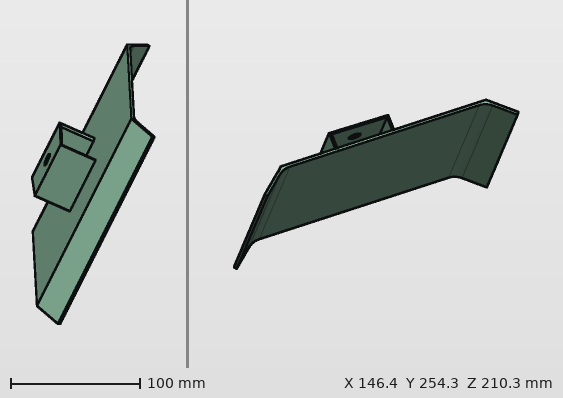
import cadquery as cq
import math

PLATE_HALF_LENGTH = 86.0
PLATE_WIDTH = 169.8
FLANGE_REACH = 20.5
FLANGE_DROP = 17.5
SHEET = 2.5
INNER_BEND_RADIUS = 15.3

BRACKET_LENGTH = 50.1
BRACKET_HEIGHT = 30.0
NARROW_LEG_HALF_WIDTH = 23.2
WIDE_LEG_TOP = 23.7
WIDE_LEG_BOTTOM = 26.0
NARROW_LEG_THICKNESS = 1.5
WIDE_LEG_THICKNESS = 2.3
WIDE_LEG_BEVEL = 2.0
WEB_THICKNESS = 1.5
HOLE_DIAMETER = 9.7

TILT_X = 64.15
TILT_Y = -17.1
TILT_Z = -62.1


def make_plate():
    """Folded sheet: bracket-side face at Z = 0, flanges bent down at both ends."""
    bend = math.atan2(FLANGE_DROP, FLANGE_REACH)
    tip = PLATE_HALF_LENGTH + FLANGE_REACH
    inner_tip = (tip - SHEET * math.sin(bend), -FLANGE_DROP - SHEET * math.cos(bend))
    inner_corner = (PLATE_HALF_LENGTH - SHEET * math.tan(bend / 2), -SHEET)
    right_side = [(PLATE_HALF_LENGTH, 0), (tip, -FLANGE_DROP), inner_tip, inner_corner]
    left_side = [(-x, z) for x, z in reversed(right_side)]
    sheet = (
        cq.Workplane("XZ")
        .polyline(right_side + left_side)
        .close()
        .extrude(PLATE_WIDTH / 2, both=True)
    )
    for side in (1, -1):
        inner_bend = cq.selectors.NearestToPointSelector((side * inner_corner[0], 0, inner_corner[1]))
        sheet = sheet.edges("|Y").edges(inner_bend).fillet(INNER_BEND_RADIUS)
    return sheet


def prism(outline, height):
    """Solid rising from Z = 0 over a closed outline."""
    return cq.Workplane("XY").polyline(outline).close().extrude(height)


def make_bracket():
    """Top web with a leg at each end; the web widens towards the -X leg."""
    outer_x = BRACKET_LENGTH / 2
    narrow_end = [(outer_x, NARROW_LEG_HALF_WIDTH), (outer_x, -NARROW_LEG_HALF_WIDTH)]
    wide_end = [(-outer_x, -WIDE_LEG_BOTTOM), (-outer_x, WIDE_LEG_TOP)]
    web = prism(narrow_end + wide_end, WEB_THICKNESS)
    web = web.translate((0, 0, BRACKET_HEIGHT - WEB_THICKNESS))

    narrow_inner_x = outer_x - NARROW_LEG_THICKNESS
    narrow_inner = [(narrow_inner_x, -NARROW_LEG_HALF_WIDTH), (narrow_inner_x, NARROW_LEG_HALF_WIDTH)]
    narrow_leg = prism(narrow_end + narrow_inner, BRACKET_HEIGHT)

    wide_inner_x = WIDE_LEG_THICKNESS - outer_x
    wide_inner = [
        (wide_inner_x, WIDE_LEG_TOP - WIDE_LEG_BEVEL),
        (wide_inner_x, WIDE_LEG_BEVEL - WIDE_LEG_BOTTOM),
    ]
    wide_leg = prism(wide_end + wide_inner, BRACKET_HEIGHT)

    hole = cq.Workplane("XY").circle(HOLE_DIAMETER / 2).extrude(BRACKET_HEIGHT)
    return web.union(narrow_leg).union(wide_leg).cut(hole)


level_part = make_plate().union(make_bracket())
result = (
    level_part.rotate((0, 0, 0), (1, 0, 0), TILT_X)
    .rotate((0, 0, 0), (0, 1, 0), TILT_Y)
    .rotate((0, 0, 0), (0, 0, 1), TILT_Z)
)